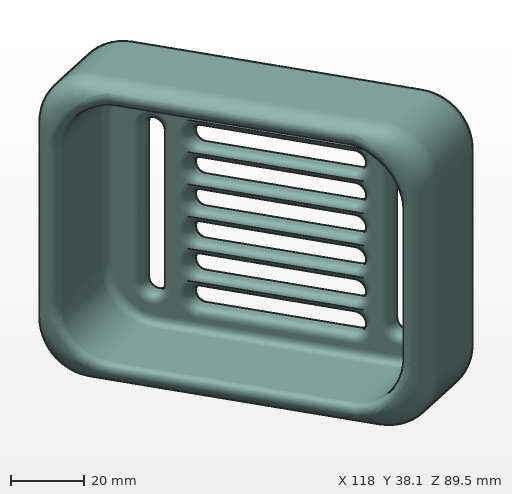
import cadquery as cq

width = 118.0
depth = 38.1
height = 89.5
corner_radius = 15.9
outer_edge_radius = 7.5

side_wall = 8.0
end_wall = 6.5
cavity_corner_radius = 15.9
rim_radius = 2.4
floor_thickness = 5.3
floor_fillet = 2.6

slot_radius = 3.0
slot_flare = 2.7
slot_span = 46.0
grille_count = 7
grille_pitch = 9.5
side_slot_offset = 36.9
side_slot_level = -3.9

back_y = depth / 2
front_y = -depth / 2
floor_y = back_y - floor_thickness
overcut = 1.2
selection_margin = 0.1


def rounded_block(size_x, size_z, start_y, length, radius):
    """Block with rounded corners in XZ, running from start_y towards -Y."""
    plane = cq.Workplane("XZ", origin=(0, start_y, 0))
    return plane.rect(size_x, size_z).extrude(length).edges("|Y").fillet(radius)


def make_body():
    block = rounded_block(width, height, back_y, depth, corner_radius)
    return block.faces("<Y or >Y").edges().fillet(outer_edge_radius)


def make_cavity():
    cavity_depth = depth - floor_thickness + overcut
    cavity_width = width - 2 * side_wall
    cavity_height = height - 2 * end_wall
    block = rounded_block(cavity_width, cavity_height, floor_y, cavity_depth, cavity_corner_radius)
    return block.faces(">Y").edges().fillet(floor_fillet)


def slot_half_profile(plane):
    """Half cross-section of a slot: straight at the back, flared where it meets the cavity."""
    mouth = slot_radius + slot_flare
    flare_start = (slot_radius, floor_y + slot_flare)
    return (
        plane.moveTo(0, back_y + overcut)
        .lineTo(slot_radius, back_y + overcut)
        .lineTo(*flare_start)
        .radiusArc((mouth, floor_y), -slot_flare)
        .lineTo(mouth, floor_y - overcut)
        .lineTo(0, floor_y - overcut)
        .close()
    )


def make_slot():
    """Slot cutter along X, centred on the Y axis, with round ends."""
    end_plane = cq.Workplane("XY", origin=(slot_span / 2, 0, 0))
    right_end = slot_half_profile(end_plane).revolve(360, (0, 0, 0), (0, 1, 0))
    side_plane = cq.Workplane("ZY", origin=(slot_span / 2, 0, 0))
    upper_half = slot_half_profile(side_plane).extrude(slot_span)
    straight = upper_half.union(upper_half.mirror("XY"))
    return straight.union(right_end).union(right_end.mirror("YZ"))


def round_rim(shell):
    """Round the inner edge of the opening, blending it into the outer edge rounding."""
    half_x = width / 2 - side_wall + selection_margin
    half_z = height / 2 - end_wall + selection_margin
    opening = cq.selectors.BoxSelector(
        (-half_x, front_y - selection_margin, -half_z),
        (half_x, front_y + outer_edge_radius, half_z),
        boundingbox=True,
    )
    return shell.edges(opening).fillet(rim_radius)


result = round_rim(make_body().cut(make_cavity()))

slot = make_slot()
for index in range(grille_count):
    level = (index - (grille_count - 1) / 2) * grille_pitch
    result = result.cut(slot.translate((0, 0, level)))

upright_slot = slot.rotate((0, 0, 0), (0, 1, 0), 90)
for side in (-1, 1):
    result = result.cut(upright_slot.translate((side * side_slot_offset, 0, side_slot_level)))